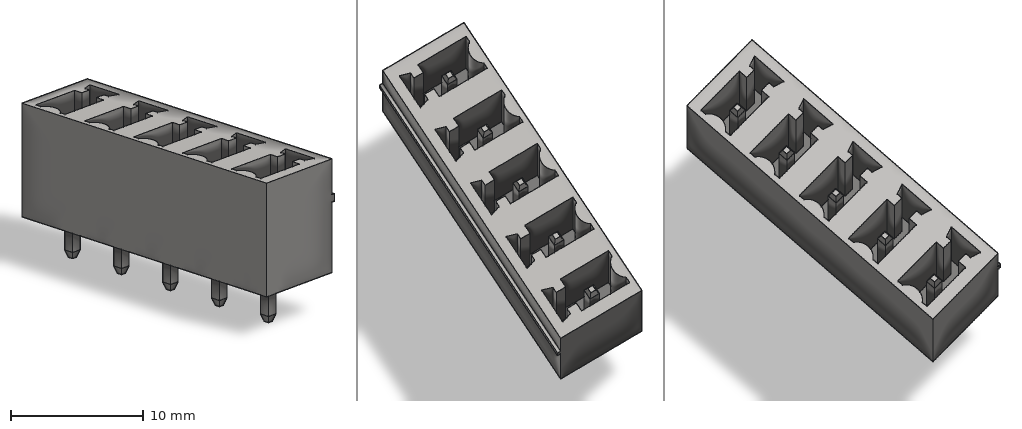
import cadquery as cq

housing_length = 25.4
housing_depth = 7.26
housing_height = 9.2

pin_count = 5
pin_pitch = 5.08
pin_width = 0.85
pin_tip_width = 0.43
pin_taper = 0.6
pin_below = 3.4
pin_above = 7.75
pin_y = 2.9

floor_thickness = 2.0
socket_width = 3.02
socket_front = 0.45
neck_front = 4.75
neck_back = 5.6
socket_back = 6.43
neck_width = 1.52
dovetail_width = 2.5
key_width = 2.03
key_height = 0.53

rib_projection = 0.28
rib_height = 0.6
rib_bottom = 5.7

pin_positions = [(i - (pin_count - 1) / 2) * pin_pitch for i in range(pin_count)]


def make_housing():
    """Plain block with a rib along its back face."""
    body = (
        cq.Workplane("XY")
        .box(housing_length, housing_depth, housing_height, centered=(True, False, False))
    )
    rib = (
        cq.Workplane("XY", origin=(0, housing_depth, rib_bottom))
        .box(housing_length, rib_projection, rib_height, centered=(True, False, False))
    )
    return body.union(rib)


def make_socket(x):
    """Volume removed for one socket: a bay with a round key, a neck and a dovetail keyway."""
    half_socket = socket_width / 2
    half_neck = neck_width / 2
    half_dovetail = dovetail_width / 2
    half_key = key_width / 2
    return (
        cq.Workplane("XY", origin=(x, 0, floor_thickness))
        .moveTo(-half_socket, socket_front)
        .lineTo(-half_key, socket_front)
        .threePointArc((0, socket_front + key_height), (half_key, socket_front))
        .lineTo(half_socket, socket_front)
        .lineTo(half_socket, neck_front)
        .lineTo(half_neck, neck_front)
        .lineTo(half_neck, neck_back)
        .lineTo(half_dovetail, neck_back)
        .lineTo(half_socket, socket_back)
        .lineTo(-half_socket, socket_back)
        .lineTo(-half_dovetail, neck_back)
        .lineTo(-half_neck, neck_back)
        .lineTo(-half_neck, neck_front)
        .lineTo(-half_socket, neck_front)
        .close()
        .extrude(housing_height - floor_thickness)
    )


def taper_from(shank_end):
    """Square tip that narrows outward from an end face of a pin shank."""
    return (
        shank_end.workplane()
        .rect(pin_width, pin_width)
        .workplane(offset=pin_taper)
        .rect(pin_tip_width, pin_tip_width)
        .loft(combine=False)
    )


def make_pin(x):
    """Square pin through the socket floor, tapered at both ends."""
    shank_bottom = pin_taper - pin_below
    shank_top = pin_above - pin_taper
    shank = (
        cq.Workplane("XY", origin=(x, pin_y, shank_bottom))
        .rect(pin_width, pin_width)
        .extrude(shank_top - shank_bottom)
    )
    upper_tip = taper_from(shank.faces(">Z"))
    lower_tip = taper_from(shank.faces("<Z"))
    return shank.union(upper_tip).union(lower_tip)


result = make_housing()
for pin_x in pin_positions:
    result = result.cut(make_socket(pin_x)).union(make_pin(pin_x))